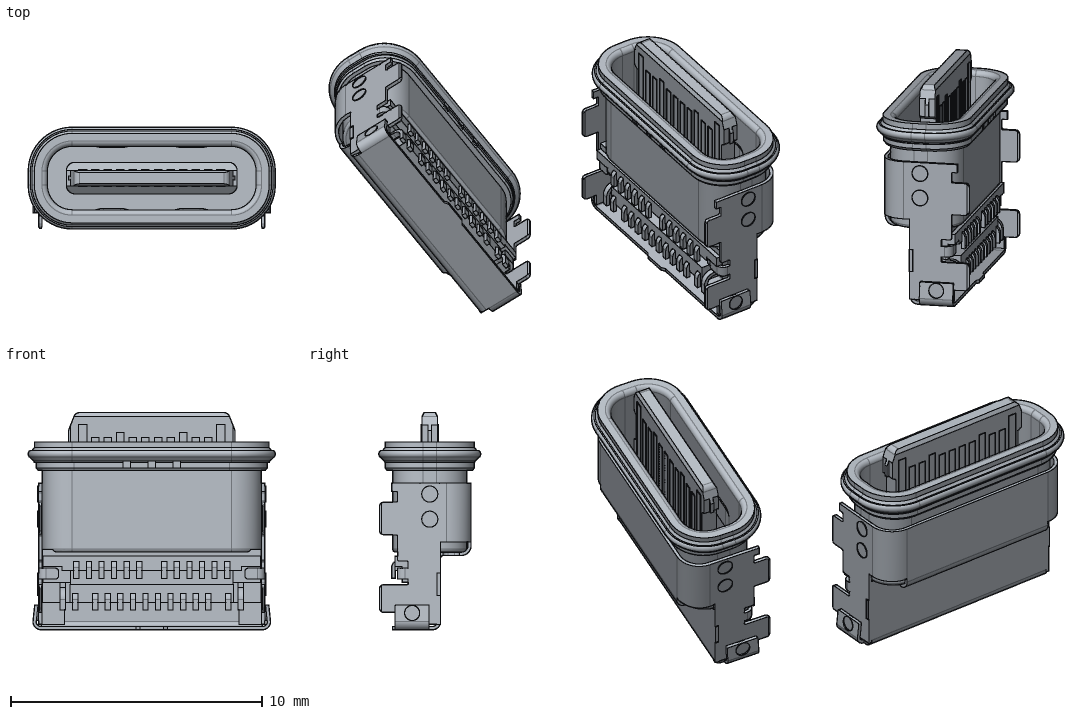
import cadquery as cq
import math


OVERLAP = 0.1
MARGIN = 0.01

CORE_X = 3.165
CORE_Y = 0.275
CAVITY_OFFSET = 0.985
SHELL_OFFSET = 1.2
RIM_OFFSET = 1.505
RING_OFFSET = 1.755
SHELL_BOTTOM = 3.09
SHELL_BOTTOM_FILLET = 0.12
CAVITY_FLOOR = 3.6
RIM_TOP = 7.48
SEAL_INNER_OFFSET = 1.1
NECK_BOTTOM = 7.25
GROOVE_OFFSET = 1.6
RING_TOP = 7.14
RING_TOP_OFFSET = 1.66
RING_MIDDLE = 6.98
RING_BOTTOM = 6.87
RING_BOTTOM_OFFSET = 1.7
RING_FOOT = 6.72
RING_FOOT_OFFSET = 1.54

COLLAR_TOP = 6.65
COLLAR_BOTTOM = 6.34
COLLAR_HALF_X = 4.6
COLLAR_CHAMFER_WIDTH = 0.08
COLLAR_CHAMFER_HEIGHT = 0.1
COLLAR_NOTCH_WIDTH = 0.3
COLLAR_NOTCH_PITCH = 1.0
COLLAR_NOTCH_BOTTOM = 6.44
COLLAR_NOTCH_DEPTH = 0.06

TONGUE_TOP = 8.65
TONGUE_HALF_X = 3.23
TONGUE_HALF_Y = 0.31
TONGUE_TIP_HALF_X = 2.82
TONGUE_TIP_HALF_Y = 0.225
TONGUE_TIP_HEIGHT = 0.17
TONGUE_SHOULDER_HALF_X = 3.1
TONGUE_SHOULDER_BULGE = 0.05
RIB_HALF_X = 3.32
RIB_HALF_Y = 0.075
RIB_TOP = 7.92
END_FACE_TOP = 8.17
LATCH_NOTCH_TOP = 7.42
LATCH_NOTCH_SLOPE_HEIGHT = 0.12
LATCH_NOTCH_BOTTOM = 5.79
LATCH_NOTCH_HALF_X = 3.05
TONGUE_BASE_HALF_X = 3.4
TONGUE_BASE_HALF_Y = 0.63
TONGUE_BASE_RADIUS = 0.35
TONGUE_BASE_TOP = 4.2
TONGUE_BASE_SHOULDER = 3.88

CONTACT_PITCH = 0.5
CONTACT_PROUD = 0.03
CONTACT_WIDTH = 0.3
POWER_CONTACT_WIDTH = 0.34
SIGNAL_CONTACT_TOP = 7.65
BUS_CONTACT_TOP = 7.84
GROUND_CONTACT_TOP = 8.17
CONTACT_TOPS = [
    SIGNAL_CONTACT_TOP,
    SIGNAL_CONTACT_TOP,
    BUS_CONTACT_TOP,
    SIGNAL_CONTACT_TOP,
    SIGNAL_CONTACT_TOP,
    GROUND_CONTACT_TOP,
]

SPRING_X = 1.58
SPRING_HALF_LENGTH = 0.64
SPRING_TIP_HALF_LENGTH = 0.45
SPRING_PROUD = 0.05
SPRING_BOTTOM = 4.9
SPRING_TOP = 5.95
SPRING_CORNER = 0.3

SHEET = 0.135
BRACKET_HALF_X = 4.5
WALL_BITE = 0.005
BRACKET_INNER_X = BRACKET_HALF_X - SHEET - WALL_BITE
BRACKET_TOP = 5.84
BRACKET_BACK_Y = 1.65
BRACKET_CORNER = 0.98
CORNER_BOTTOM = 3.5
UNDER_SHELL_Z = 2.95
STEP_BEND = 0.4
STEP_INNER_BEND = 0.1
STEP_NOTCH_DEPTH = 0.3
STEP_NOTCH_BACK_Y = 1.18
STEP_NOTCH_RADIUS = 0.2
STEP_HALF_X = BRACKET_HALF_X - BRACKET_CORNER
REAR_Y = 0.435
REAR_BEND = 0.33
FLOOR_FRONT_Y = -1.385
FLOOR_TAB_FRONT_Y = -1.49
FLOOR_TAB_HALF_X = 0.63
FLOOR_TAB_TIP_HALF_X = 0.46

LEG_FRONT_Y = -2.007
LEG_CORNER = 0.18
LEG_BEVEL_LENGTH = 0.08
LEG_BEVEL_DEPTH = 0.04
INNER_CORNER = 0.06
UPPER_LEG_TOP = 5.08
UPPER_LEG_BOTTOM = 3.78
LOWER_LEG_TOP = 1.8
LOWER_LEG_BOTTOM = 0.69
EAR_FRONT_Y = -1.515
EAR_BOTTOM = 5.51
WAIST_Y = -1.28
NOTCH_TOP = 2.74
NOTCH_Y = -0.86
SIDE_BOTTOM = 0.22
SIDE_LOWER_FRONT_Y = -1.385

CLIP_TOP = 2.45
CLIP_BOTTOM = 2.02
CLIP_BEND = 0.3
CLIP_FRONT_Y = -1.29
CLIP_END_X = 3.71
CLIP_END_RADIUS = 0.12

SIDE_BUMP_PROUD = 0.035
SIDE_DIMPLE_RADIUS = 0.32
SIDE_DIMPLE_ZS = [5.4, 4.4]
LOCK_BUMP_BOTTOM = 1.36
LOCK_BUMP_TOP = 2.26
LOCK_BUMP_WIDTH = 0.14

FLAP_HALF_X = 4.73
FLAP_TOP = 0.99
FLAP_BACK_Y = -0.02
FLAP_TOP_HALF_X = 4.66
FLAP_BEND = 0.33
FLAP_CORNER = 0.05
FLAP_DIMPLE_Y = -0.7
FLAP_DIMPLE_Z = 0.67
FLAP_DIMPLE_RADIUS = 0.3

CORNER_TAB_INNER_X = 3.48

HOUSING_HALF_X = 4.35
HOUSING_TOP = SHELL_BOTTOM + OVERLAP
HOUSING_BACK_Y = 0.35
HOUSING_BOTTOM = 1.085
HOUSING_FRONT_Y = -0.8
LEDGE_FRONT_Y = -1.2
BLOCK_FRONT_Y = -1.385
UPPER_BLOCK_TOP = 2.93
UPPER_BLOCK_BOTTOM = 2.35
UPPER_BLOCK_HALF_X = 4.33
UPPER_BLOCK_STEP_X = 3.58
UPPER_BLOCK_STEP_Z = 2.51
CHEEK_FRONT_Y = -1.095
CHEEK_INNER_X = 3.23
CHEEK_BOTTOM = 1.89
LOWER_BLOCK_HALF_X = 3.26
LOWER_BLOCK_TOP = 1.8
LOWER_BLOCK_RECESS_Y = -0.55

TERMINAL_WIDTH = 0.21
TERMINAL_FRONT_Y = -1.52
TERMINAL_HEIGHT = 0.66
TERMINAL_BEND_HEIGHT = 0.24
TERMINAL_BEND_MIDDLE_Y = -1.486
TERMINAL_BEND_MIDDLE_DROP = 0.108
TERMINAL_ROOT = 0.02
TERMINAL_PITCH = 0.5
UPPER_TERMINAL_BOTTOM = 2.05
LOWER_TERMINAL_BOTTOM = 0.79
UPPER_TERMINAL_XS = [TERMINAL_PITCH * i for i in range(1, 7)]
LOWER_TERMINAL_XS = [TERMINAL_PITCH * (i + 0.5) for i in range(5)] + [3.04]
GROUND_TERMINAL_X = 3.54
GROUND_TERMINAL_WIDTH = 0.23
GROUND_TERMINAL_TOP = 1.69
GROUND_TERMINAL_BEND = 0.48
GROUND_TERMINAL_SHANK_TOP = 1.88
GROUND_TERMINAL_SHANK_FRONT_Y = -0.84
TERMINAL_THICKNESS = 0.15


def block(x0, x1, y0, y1, z0, z1):
    """Axis-aligned box between two corners."""
    return cq.Workplane("XY").box(x1 - x0, y1 - y0, z1 - z0, centered=False).translate((x0, y0, z0))


def both_sides(body):
    """The body together with its mirror image across the YZ plane."""
    return body.union(body.mirror("YZ"))


def rounded_prism(half_x, half_y, radius, z0, z1):
    """Upright prism with a rounded-rectangle outline."""
    return block(-half_x, half_x, -half_y, half_y, z0, z1).edges("|Z").fillet(radius)


def racetrack(offset, z0, z1):
    """Upright prism whose outline lies at an offset from the core rectangle."""
    return rounded_prism(CORE_X + offset, CORE_Y + offset, offset, z0, z1)


def make_seal():
    """Rim and bulging sealing ring, one profile swept around the shell."""
    path = racetrack(SEAL_INNER_OFFSET, COLLAR_TOP, RIM_TOP).faces("<Z").wires().val()
    profile = (
        cq.Workplane("XZ", origin=(CORE_X, 0, 0))
        .moveTo(SEAL_INNER_OFFSET, RIM_TOP)
        .lineTo(RIM_OFFSET, RIM_TOP)
        .lineTo(RIM_OFFSET, NECK_BOTTOM)
        .lineTo(GROOVE_OFFSET, RING_TOP)
        .lineTo(RING_TOP_OFFSET, RING_TOP)
        .threePointArc((RING_OFFSET, RING_MIDDLE), (RING_BOTTOM_OFFSET, RING_BOTTOM))
        .lineTo(RING_FOOT_OFFSET, RING_FOOT)
        .lineTo(RIM_OFFSET, COLLAR_TOP)
        .lineTo(SEAL_INNER_OFFSET, COLLAR_TOP)
        .close()
    )
    return profile.sweep(cq.Workplane(path), transition="round")


def make_collar():
    """Collar under the ring, bevelled below."""
    half_y = CORE_Y + RIM_OFFSET
    collar = rounded_prism(COLLAR_HALF_X, half_y, RIM_OFFSET, COLLAR_BOTTOM, COLLAR_TOP)
    return collar.faces("<Z").edges().chamfer(COLLAR_CHAMFER_HEIGHT, COLLAR_CHAMFER_WIDTH)


def make_collar_notches():
    """Cutters for the three shallow notches along the front of the collar."""
    front_y = -CORE_Y - RING_FOOT_OFFSET
    floor_y = COLLAR_NOTCH_DEPTH - CORE_Y - RIM_OFFSET
    half = COLLAR_NOTCH_WIDTH / 2
    notch = block(-half, half, front_y, floor_y, COLLAR_NOTCH_BOTTOM, RING_FOOT)
    side_notch = notch.translate((COLLAR_NOTCH_PITCH, 0, 0))
    return notch.union(both_sides(side_notch))


def make_shell():
    """Shell with its seal, hollowed by the plug cavity with a flared mouth."""
    shell = racetrack(SHELL_OFFSET, SHELL_BOTTOM, RIM_TOP)
    shell = shell.faces("<Z").edges().fillet(SHELL_BOTTOM_FILLET)
    shell = shell.union(make_seal()).union(make_collar()).cut(make_collar_notches())
    shell = shell.cut(racetrack(CAVITY_OFFSET, CAVITY_FLOOR, RIM_TOP))
    mouth_x = CORE_X + CAVITY_OFFSET + MARGIN
    mouth_y = CORE_Y + CAVITY_OFFSET + MARGIN
    mouth = cq.selectors.BoxSelector(
        (-mouth_x, -mouth_y, RIM_TOP - MARGIN), (mouth_x, mouth_y, RIM_TOP + MARGIN), boundingbox=True
    )
    return shell.edges(mouth).fillet(SHELL_OFFSET - CAVITY_OFFSET)


def make_tongue_core():
    """Tongue with a bevelled tip and a narrow rib along each end."""
    tip_z = TONGUE_TOP - TONGUE_TIP_HEIGHT
    arc_x = (TONGUE_TIP_HALF_X + TONGUE_SHOULDER_HALF_X) / 2 + TONGUE_SHOULDER_BULGE / 2
    arc_z = (TONGUE_TOP + tip_z) / 2 + TONGUE_SHOULDER_BULGE
    front = (
        cq.Workplane("XZ")
        .moveTo(0, CAVITY_FLOOR)
        .lineTo(0, TONGUE_TOP)
        .lineTo(TONGUE_TIP_HALF_X, TONGUE_TOP)
        .threePointArc((arc_x, arc_z), (TONGUE_SHOULDER_HALF_X, tip_z))
        .lineTo(RIB_HALF_X, RIB_TOP)
        .lineTo(RIB_HALF_X, CAVITY_FLOOR)
        .close()
        .extrude(TONGUE_HALF_Y, both=True)
    )
    section = (
        cq.Workplane("YZ")
        .moveTo(-TONGUE_HALF_Y, CAVITY_FLOOR)
        .lineTo(-TONGUE_HALF_Y, tip_z)
        .lineTo(-TONGUE_TIP_HALF_Y, TONGUE_TOP)
        .lineTo(TONGUE_TIP_HALF_Y, TONGUE_TOP)
        .lineTo(TONGUE_HALF_Y, tip_z)
        .lineTo(TONGUE_HALF_Y, CAVITY_FLOOR)
        .close()
        .extrude(RIB_HALF_X, both=True)
    )
    tongue = both_sides(front).intersect(section)
    end_faces = block(
        TONGUE_HALF_X, RIB_HALF_X, -TONGUE_HALF_Y, TONGUE_HALF_Y, CAVITY_FLOOR, END_FACE_TOP
    )
    rib = block(TONGUE_HALF_X, RIB_HALF_X, -RIB_HALF_Y, RIB_HALF_Y, CAVITY_FLOOR, END_FACE_TOP)
    return tongue.cut(both_sides(end_faces.cut(rib)))


def make_latch_notch():
    """Cutter for the latch notch in the right-hand end of the tongue."""
    end_slope = LATCH_NOTCH_TOP - LATCH_NOTCH_SLOPE_HEIGHT
    return (
        cq.Workplane("XZ")
        .moveTo(RIB_HALF_X, LATCH_NOTCH_TOP)
        .lineTo(TONGUE_HALF_X, LATCH_NOTCH_TOP)
        .lineTo(LATCH_NOTCH_HALF_X, end_slope)
        .lineTo(LATCH_NOTCH_HALF_X, LATCH_NOTCH_BOTTOM + LATCH_NOTCH_SLOPE_HEIGHT)
        .lineTo(TONGUE_HALF_X, LATCH_NOTCH_BOTTOM)
        .lineTo(RIB_HALF_X, LATCH_NOTCH_BOTTOM)
        .close()
        .extrude(TONGUE_HALF_Y, both=True)
    )


def make_contacts():
    """Contact strips on both faces of the tongue."""
    contact_y = TONGUE_HALF_Y + CONTACT_PROUD
    contacts = cq.Workplane("XY")
    for i, top in enumerate(CONTACT_TOPS):
        x = CONTACT_PITCH * (i + 0.5)
        width = POWER_CONTACT_WIDTH if top == GROUND_CONTACT_TOP else CONTACT_WIDTH
        contact = block(x - width / 2, x + width / 2, -contact_y, contact_y, CAVITY_FLOOR, top)
        contacts = contacts.add(both_sides(contact))
    return contacts.combine()


def make_tongue_base():
    """Thick rounded root of the tongue, sloping up to the tongue faces."""
    foot = CAVITY_FLOOR - OVERLAP
    base = rounded_prism(TONGUE_BASE_HALF_X, TONGUE_BASE_HALF_Y, TONGUE_BASE_RADIUS, foot, TONGUE_BASE_TOP)
    slopes = (
        cq.Workplane("YZ")
        .moveTo(-TONGUE_BASE_HALF_Y, foot)
        .lineTo(-TONGUE_BASE_HALF_Y, TONGUE_BASE_SHOULDER)
        .lineTo(-TONGUE_HALF_Y, TONGUE_BASE_TOP)
        .lineTo(TONGUE_HALF_Y, TONGUE_BASE_TOP)
        .lineTo(TONGUE_BASE_HALF_Y, TONGUE_BASE_SHOULDER)
        .lineTo(TONGUE_BASE_HALF_Y, foot)
        .close()
        .extrude(TONGUE_BASE_HALF_X, both=True)
    )
    return base.intersect(slopes)


def make_tongue():
    """Central tongue with latch notches, contacts and thick base."""
    tongue = make_tongue_core().cut(both_sides(make_latch_notch()))
    return tongue.union(make_contacts()).union(make_tongue_base())


def make_springs():
    """Low spring bumps with rounded corners on the long walls of the plug cavity."""
    wall_y = CORE_Y + CAVITY_OFFSET
    spring = (
        cq.Workplane("XY", origin=(SPRING_X, 0, SPRING_BOTTOM))
        .moveTo(-SPRING_HALF_LENGTH, wall_y + OVERLAP)
        .lineTo(-SPRING_HALF_LENGTH, wall_y)
        .lineTo(-SPRING_TIP_HALF_LENGTH, wall_y - SPRING_PROUD)
        .lineTo(SPRING_TIP_HALF_LENGTH, wall_y - SPRING_PROUD)
        .lineTo(SPRING_HALF_LENGTH, wall_y)
        .lineTo(SPRING_HALF_LENGTH, wall_y + OVERLAP)
        .close()
        .extrude(SPRING_TOP - SPRING_BOTTOM)
    )
    outline = block(
        SPRING_X - SPRING_HALF_LENGTH,
        SPRING_X + SPRING_HALF_LENGTH,
        wall_y - SPRING_PROUD,
        wall_y + OVERLAP,
        SPRING_BOTTOM,
        SPRING_TOP,
    )
    springs = both_sides(spring.intersect(outline.edges("|Y").fillet(SPRING_CORNER)))
    return springs.union(springs.mirror("XZ"))


def make_wrap():
    """Sheet wrapped around the back of the shell, open to the front."""
    inner_y = BRACKET_BACK_Y - SHEET
    outline = block(-BRACKET_HALF_X, BRACKET_HALF_X, 0, BRACKET_BACK_Y, CORNER_BOTTOM, BRACKET_TOP)
    outline = outline.edges("|Z and >Y").fillet(BRACKET_CORNER)
    hollow = block(-BRACKET_INNER_X, BRACKET_INNER_X, 0, inner_y, CORNER_BOTTOM, BRACKET_TOP)
    hollow = hollow.edges("|Z and >Y").fillet(BRACKET_CORNER - SHEET)
    return outline.cut(hollow)


def make_rear():
    """Bent strip: down the back, forward under the shell, down again and into the floor."""
    bottom = UNDER_SHELL_Z
    step = block(-STEP_HALF_X, STEP_HALF_X, 0, BRACKET_BACK_Y, bottom, CORNER_BOTTOM)
    step = step.edges("|X and >Y and <Z").fillet(STEP_BEND)
    hollow = block(-STEP_HALF_X, STEP_HALF_X, 0, BRACKET_BACK_Y - SHEET, bottom + SHEET, CORNER_BOTTOM)
    hollow = hollow.edges("|X and >Y and <Z").fillet(STEP_BEND - SHEET)
    step = step.cut(hollow)
    bend_y = REAR_Y + STEP_INNER_BEND
    bend_z = bottom - STEP_INNER_BEND
    notch_x = STEP_HALF_X - STEP_NOTCH_DEPTH
    notch = block(notch_x, STEP_HALF_X, bend_y, STEP_NOTCH_BACK_Y, bottom, CORNER_BOTTOM)
    step = step.cut(both_sides(notch.edges("|Z and <X").fillet(STEP_NOTCH_RADIUS)))

    half = FLAP_HALF_X - FLAP_BEND
    wall = block(-half, half, FLOOR_FRONT_Y, REAR_Y, 0, bottom + SHEET)
    wall = wall.edges("|X and >Y and <Z").fillet(REAR_BEND)
    inside = block(-half, half, FLOOR_FRONT_Y, REAR_Y - SHEET, SHEET, bottom + SHEET)
    inside = inside.edges("|X and >Y and <Z").fillet(REAR_BEND - SHEET)
    inner_bend = block(-STEP_HALF_X, STEP_HALF_X, REAR_Y, bend_y, bend_z, bottom)
    bend_axis = cq.Workplane("YZ", origin=(0, bend_y, bend_z))
    inner_bend = inner_bend.cut(bend_axis.circle(STEP_INNER_BEND).extrude(STEP_HALF_X, both=True))
    return step.union(wall.cut(inside)).union(inner_bend)


def make_floor_tab():
    """Trapezoidal tab at the middle of the floor's front edge."""
    return (
        cq.Workplane("XY")
        .moveTo(-FLOOR_TAB_HALF_X, FLOOR_FRONT_Y)
        .lineTo(-FLOOR_TAB_TIP_HALF_X, FLOOR_TAB_FRONT_Y)
        .lineTo(FLOOR_TAB_TIP_HALF_X, FLOOR_TAB_FRONT_Y)
        .lineTo(FLOOR_TAB_HALF_X, FLOOR_FRONT_Y)
        .close()
        .extrude(SHEET)
    )


def make_leg_bevels():
    """Cutters for the bevels on both faces along the tips of the right-hand legs."""
    outer = (
        cq.Workplane("XY")
        .moveTo(BRACKET_HALF_X, LEG_FRONT_Y + LEG_BEVEL_LENGTH)
        .lineTo(BRACKET_HALF_X, LEG_FRONT_Y)
        .lineTo(BRACKET_HALF_X - LEG_BEVEL_DEPTH, LEG_FRONT_Y)
        .close()
        .extrude(UPPER_LEG_TOP)
    )
    inner = (
        cq.Workplane("XY")
        .moveTo(BRACKET_INNER_X, LEG_FRONT_Y + LEG_BEVEL_LENGTH)
        .lineTo(BRACKET_INNER_X, LEG_FRONT_Y)
        .lineTo(BRACKET_INNER_X + LEG_BEVEL_DEPTH, LEG_FRONT_Y)
        .close()
        .extrude(UPPER_LEG_TOP)
    )
    return outer.union(inner)


def make_side():
    """Right-hand side wall with its two solder legs and dimples."""
    wall = (
        cq.Workplane("YZ", origin=(BRACKET_INNER_X, 0, 0))
        .moveTo(BRACKET_BACK_Y - BRACKET_CORNER, BRACKET_TOP)
        .lineTo(EAR_FRONT_Y, BRACKET_TOP)
        .lineTo(EAR_FRONT_Y, EAR_BOTTOM)
        .lineTo(WAIST_Y, EAR_BOTTOM)
        .lineTo(WAIST_Y, UPPER_LEG_TOP)
        .lineTo(LEG_FRONT_Y, UPPER_LEG_TOP)
        .lineTo(LEG_FRONT_Y, UPPER_LEG_BOTTOM)
        .lineTo(WAIST_Y, UPPER_LEG_BOTTOM)
        .lineTo(WAIST_Y, NOTCH_TOP)
        .lineTo(NOTCH_Y, NOTCH_TOP)
        .lineTo(NOTCH_Y, LOWER_LEG_TOP)
        .lineTo(LEG_FRONT_Y, LOWER_LEG_TOP)
        .lineTo(LEG_FRONT_Y, LOWER_LEG_BOTTOM)
        .lineTo(SIDE_LOWER_FRONT_Y, LOWER_LEG_BOTTOM)
        .lineTo(SIDE_LOWER_FRONT_Y, SIDE_BOTTOM)
        .lineTo(REAR_Y, SIDE_BOTTOM)
        .lineTo(REAR_Y, CORNER_BOTTOM)
        .lineTo(BRACKET_BACK_Y - BRACKET_CORNER, CORNER_BOTTOM)
        .close()
        .extrude(BRACKET_HALF_X - BRACKET_INNER_X)
    )
    inner_corners = cq.selectors.BoxSelector(
        (BRACKET_INNER_X - MARGIN, WAIST_Y - MARGIN, SIDE_BOTTOM),
        (BRACKET_HALF_X + MARGIN, NOTCH_Y + MARGIN, BRACKET_TOP - MARGIN),
    )
    wall = wall.edges("|X").edges(inner_corners).fillet(INNER_CORNER)
    wall = wall.edges("|X and <Y").fillet(LEG_CORNER)
    wall = wall.cut(make_leg_bevels())
    for z in SIDE_DIMPLE_ZS:
        dimple = cq.Workplane("YZ", origin=(BRACKET_INNER_X, 0, z)).circle(SIDE_DIMPLE_RADIUS)
        wall = wall.union(dimple.extrude(BRACKET_HALF_X + SIDE_BUMP_PROUD - BRACKET_INNER_X))
    lock_bump = block(
        BRACKET_INNER_X,
        BRACKET_HALF_X + SIDE_BUMP_PROUD,
        REAR_Y - LOCK_BUMP_WIDTH,
        REAR_Y,
        LOCK_BUMP_BOTTOM,
        LOCK_BUMP_TOP,
    )
    return wall.union(lock_bump)


def make_clip():
    """Right-hand clip: a tongue of the side wall bent inwards over the housing."""
    clip = block(CLIP_END_X, BRACKET_HALF_X, CLIP_FRONT_Y, NOTCH_Y, CLIP_BOTTOM, CLIP_TOP)
    clip = clip.edges("|Z and >X and <Y").fillet(CLIP_BEND)
    hollow = block(
        CLIP_END_X, BRACKET_HALF_X - SHEET, CLIP_FRONT_Y + SHEET, NOTCH_Y, CLIP_BOTTOM, CLIP_TOP
    )
    hollow = hollow.edges("|Z and >X and <Y").fillet(CLIP_BEND - SHEET)
    return clip.cut(hollow).edges("|Y and <X").fillet(CLIP_END_RADIUS)


def make_flap():
    """Right-hand flap of the floor, bent up and dimpled inwards against the side wall."""
    start_x = FLAP_HALF_X - FLAP_BEND
    inner_x = FLAP_HALF_X - SHEET
    inner_top_x = FLAP_TOP_HALF_X - SHEET
    diagonal = math.sqrt(0.5)
    inner_bend = FLAP_BEND - SHEET
    flap = (
        cq.Workplane("XZ", origin=(0, FLAP_BACK_Y, 0))
        .moveTo(start_x, 0)
        .threePointArc(
            (start_x + FLAP_BEND * diagonal, FLAP_BEND - FLAP_BEND * diagonal), (FLAP_HALF_X, FLAP_BEND)
        )
        .lineTo(FLAP_TOP_HALF_X, FLAP_TOP)
        .lineTo(inner_top_x, FLAP_TOP)
        .lineTo(inner_x, FLAP_BEND)
        .threePointArc(
            (start_x + inner_bend * diagonal, FLAP_BEND - inner_bend * diagonal), (start_x, SHEET)
        )
        .close()
        .extrude(FLAP_BACK_Y - FLOOR_FRONT_Y)
    )
    top_corners = cq.selectors.BoxSelector(
        (BRACKET_HALF_X, FLOOR_FRONT_Y - MARGIN, FLAP_TOP - MARGIN),
        (FLAP_HALF_X, FLAP_BACK_Y + MARGIN, FLAP_TOP + MARGIN),
    )
    flap = flap.edges("|X").edges(top_corners).fillet(FLAP_CORNER)
    dimple_face = cq.Workplane("YZ", origin=(BRACKET_HALF_X, FLAP_DIMPLE_Y, FLAP_DIMPLE_Z))
    recess = dimple_face.circle(FLAP_DIMPLE_RADIUS).extrude(FLAP_HALF_X - BRACKET_HALF_X)
    pad = dimple_face.circle(FLAP_DIMPLE_RADIUS).extrude(FLAP_TOP_HALF_X - BRACKET_HALF_X)
    return flap.cut(recess).union(pad)


def make_bracket():
    """Complete sheet-metal bracket."""
    corner_tab = block(
        CORNER_TAB_INNER_X, BRACKET_HALF_X, REAR_Y - 2 * SHEET, REAR_Y - SHEET, SIDE_BOTTOM, HOUSING_BOTTOM
    )
    sides = both_sides(make_side().union(make_clip()).union(make_flap()).union(corner_tab))
    return make_wrap().union(make_rear()).union(make_floor_tab()).union(sides)


def make_housing():
    """Moulded housing behind and around the two terminal rows."""
    half = HOUSING_HALF_X
    body = block(-half, half, LOWER_BLOCK_RECESS_Y, HOUSING_BACK_Y, HOUSING_BOTTOM, HOUSING_TOP)
    ledge = block(-half, half, LEDGE_FRONT_Y, HOUSING_BACK_Y, UPPER_BLOCK_TOP, HOUSING_TOP)
    half = UPPER_BLOCK_HALF_X
    upper = block(-half, half, BLOCK_FRONT_Y, HOUSING_BACK_Y, UPPER_BLOCK_STEP_Z, UPPER_BLOCK_TOP)
    half = UPPER_BLOCK_STEP_X
    upper_lip = block(-half, half, BLOCK_FRONT_Y, HOUSING_BACK_Y, UPPER_BLOCK_BOTTOM, UPPER_BLOCK_STEP_Z)
    half = CHEEK_INNER_X
    middle = block(-half, half, HOUSING_FRONT_Y, HOUSING_BACK_Y, LOWER_BLOCK_TOP, UPPER_BLOCK_BOTTOM)
    half = LOWER_BLOCK_HALF_X
    lower = block(-half, half, BLOCK_FRONT_Y, HOUSING_BACK_Y, HOUSING_BOTTOM, LOWER_BLOCK_TOP)
    cheek = block(
        CHEEK_INNER_X, UPPER_BLOCK_HALF_X, CHEEK_FRONT_Y, HOUSING_BACK_Y, CHEEK_BOTTOM, UPPER_BLOCK_STEP_Z
    )
    for piece in (ledge, upper, upper_lip, middle, lower, both_sides(cheek)):
        body = body.union(piece)
    return body


def make_terminal(x, bottom):
    """Solder terminal that leaves a block's front face and bends straight down."""
    top = bottom + TERMINAL_HEIGHT
    bend_end = top - TERMINAL_BEND_HEIGHT
    return (
        cq.Workplane("YZ", origin=(x - TERMINAL_WIDTH / 2, 0, 0))
        .moveTo(BLOCK_FRONT_Y + TERMINAL_ROOT, bottom)
        .lineTo(BLOCK_FRONT_Y + TERMINAL_ROOT, top)
        .lineTo(BLOCK_FRONT_Y, top)
        .threePointArc(
            (TERMINAL_BEND_MIDDLE_Y, top - TERMINAL_BEND_MIDDLE_DROP),
            (TERMINAL_FRONT_Y, bend_end),
        )
        .lineTo(TERMINAL_FRONT_Y, bottom)
        .close()
        .extrude(TERMINAL_WIDTH)
    )


def make_ground_terminal():
    """Wide curved terminal beside the lower row, on the right."""
    left = GROUND_TERMINAL_X - GROUND_TERMINAL_WIDTH / 2
    right = GROUND_TERMINAL_X + GROUND_TERMINAL_WIDTH / 2
    bottom = LOWER_TERMINAL_BOTTOM
    bar = block(left, right, TERMINAL_FRONT_Y, LOWER_BLOCK_RECESS_Y, bottom, GROUND_TERMINAL_TOP)
    bar = bar.edges("|X and <Y and >Z").fillet(GROUND_TERMINAL_BEND)
    under = block(
        left,
        right,
        TERMINAL_FRONT_Y + TERMINAL_THICKNESS,
        LOWER_BLOCK_RECESS_Y,
        bottom,
        GROUND_TERMINAL_TOP - TERMINAL_THICKNESS,
    )
    under = under.edges("|X and <Y and >Z").fillet(GROUND_TERMINAL_BEND - TERMINAL_THICKNESS)
    shank_bottom = GROUND_TERMINAL_TOP - TERMINAL_THICKNESS
    shank = block(
        left,
        right,
        GROUND_TERMINAL_SHANK_FRONT_Y,
        LOWER_BLOCK_RECESS_Y,
        shank_bottom,
        GROUND_TERMINAL_SHANK_TOP,
    )
    return bar.cut(under).union(shank)


def make_terminals():
    """Both rows of solder terminals."""
    terminals = both_sides(make_ground_terminal())
    for xs, bottom in (
        (UPPER_TERMINAL_XS, UPPER_TERMINAL_BOTTOM),
        (LOWER_TERMINAL_XS, LOWER_TERMINAL_BOTTOM),
    ):
        for x in xs:
            terminals = terminals.union(both_sides(make_terminal(x, bottom)))
    return terminals


result = make_shell()
result = result.union(make_tongue())
result = result.union(make_springs())
result = result.union(make_housing())
result = result.union(make_bracket())
result = result.union(make_terminals())